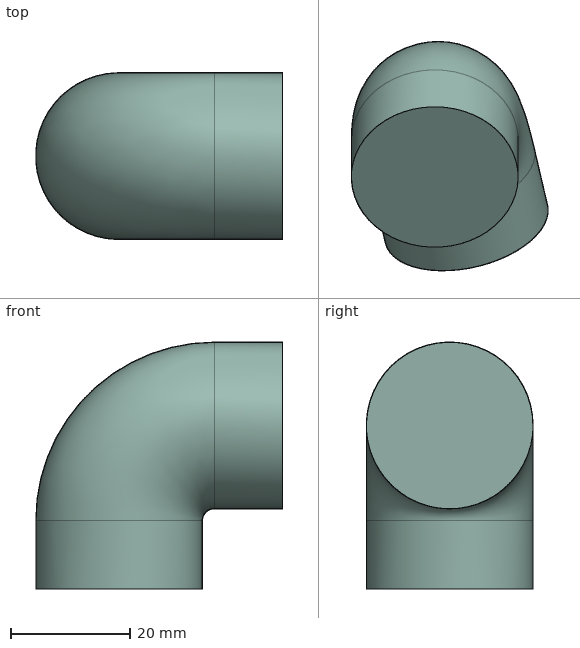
import cadquery as cq

overall_length = 41.5
pipe_diameter = 28.0
straight_length = 11.5

pipe_radius = pipe_diameter / 2
bend_radius = overall_length - straight_length - pipe_radius
bend_angle = 90

lower_end = cq.Workplane("XY").circle(pipe_radius).extrude(straight_length)

bend = (
    cq.Workplane("XY", origin=(0, 0, straight_length))
    .circle(pipe_radius)
    .revolve(bend_angle, (bend_radius, 0), (bend_radius, 1))
)

upper_end = (
    cq.Workplane("YZ", origin=(bend_radius, 0, straight_length + bend_radius))
    .circle(pipe_radius)
    .extrude(straight_length)
)

result = lower_end.union(bend).union(upper_end)